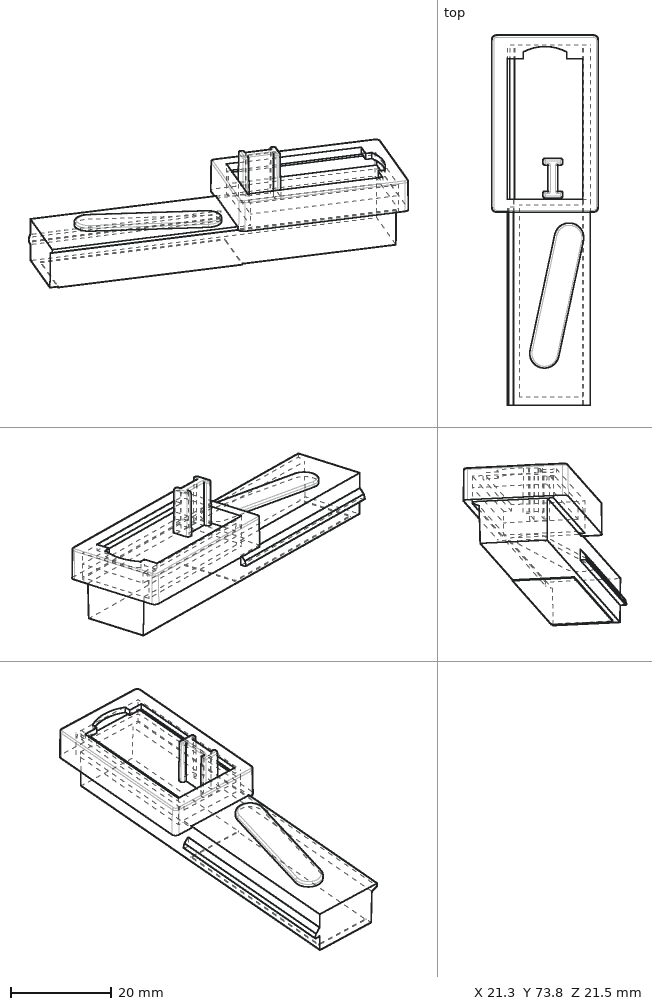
import cadquery as cq
import math


DRAFT_ANGLE = 0.75
OVERLAP = 0.5

HOUSING_WIDTH = 21.3
HOUSING_LENGTH = 35.3
HOUSING_HEIGHT = 6.6
HOUSING_CORNER_RADIUS = 1.0
HOUSING_TOP_FILLET = 0.33
PLATE_THICKNESS = 1.3
PLATE_UNDERSIDE = HOUSING_HEIGHT - PLATE_THICKNESS

WINDOW_HALF_WIDTH = 7.48
WINDOW_FRONT = 2.6
WINDOW_REAR = 30.6
NOTCH_HALF_WIDTH = 4.36
NOTCH_SIDE_END = 31.9
NOTCH_APEX = 33.0

BAR_FRONT = -38.52
BAR_REAR = 33.4
BAR_TOP = 0.45
BAR_BOTTOM = -8.6
BAR_LEFT_TOP = -6.28
BAR_LEFT_BOTTOM = -6.2
BAR_RIGHT_TOP = 7.65
BAR_RIGHT_BOTTOM = 7.45
FLANGE_RIGHT = 9.05
FLANGE_EDGE_BOTTOM = -0.3
FLANGE_ROOT = -0.9

HEAD_TOP = 2.95
RIB_TOP_LEFT = -7.0
RIB_TOP_RIGHT = -6.1
RIB_BOTTOM_RIGHT = -6.05

RAIL_REAR = 1.05
RAIL_TOP = -2.9
RAIL_SLOPE_LEFT = -7.25
RAIL_SLOPE_BOTTOM = -3.95
RAIL_NOSE_LEFT = -7.53
RAIL_BOTTOM = -5.1
RAIL_NOSE_CHAMFER = 0.15

PAD_LEFT = -5.1
PAD_FRONT = -36.8
PAD_REAR = 1.5
PAD_THICKNESS = 0.2

PILL_RADIUS = 2.93
PILL_HEIGHT = 1.1
PILL_FILLET = 0.4
PILL_REAR_CENTER = (4.8, -5.1)
PILL_FRONT_CENTER = (-0.12, -28.15)

POST_LEFT = -0.45
POST_WIDTH = 4.0
POST_FRONT = 2.8
POST_LENGTH = 7.95
POST_PROTRUSION = 6.05
POST_TOP = HOUSING_HEIGHT + POST_PROTRUSION
POST_FLANGE = 1.4
POST_WEB = 2.0
POST_CORNER_RADIUS = 0.5
POST_TOP_FILLET = 0.35


def box(x_min, x_max, y_min, y_max, z_min, z_max):
    """Box between the given limits."""
    return cq.Workplane("XY").box(
        x_max - x_min, y_max - y_min, z_max - z_min, centered=False
    ).translate((x_min, y_min, z_min))


def prism_along_y(points, y_front, y_rear):
    """Polygon of (x, z) points, extruded from y_front to y_rear."""
    plane = cq.Workplane("XZ", origin=(0, y_rear, 0))
    return plane.polyline(points).close().extrude(y_rear - y_front)


def make_head():
    """Block that fills the lower part of the housing cavity, with a rib along its left edge."""
    block = box(-WINDOW_HALF_WIDTH, FLANGE_RIGHT, WINDOW_FRONT, BAR_REAR, 0, HEAD_TOP)
    rib_profile = [
        (-WINDOW_HALF_WIDTH, HEAD_TOP - OVERLAP),
        (-WINDOW_HALF_WIDTH, HEAD_TOP),
        (RIB_TOP_LEFT, PLATE_UNDERSIDE),
        (RIB_TOP_RIGHT, PLATE_UNDERSIDE),
        (RIB_BOTTOM_RIGHT, HEAD_TOP),
        (RIB_BOTTOM_RIGHT, HEAD_TOP - OVERLAP),
    ]
    return block.union(prism_along_y(rib_profile, WINDOW_FRONT, BAR_REAR))


def make_rail():
    """Guide rail with a sloped top and a blunt nose."""
    root = BAR_LEFT_BOTTOM + OVERLAP
    profile = [
        (root, RAIL_TOP),
        (BAR_LEFT_TOP, RAIL_TOP),
        (RAIL_SLOPE_LEFT, RAIL_SLOPE_BOTTOM),
        (RAIL_NOSE_LEFT, RAIL_BOTTOM + RAIL_NOSE_CHAMFER),
        (RAIL_NOSE_LEFT + RAIL_NOSE_CHAMFER, RAIL_BOTTOM),
        (root, RAIL_BOTTOM),
    ]
    return prism_along_y(profile, BAR_FRONT, RAIL_REAR)


def make_bar():
    """Flanged bar with its head, guide rail and bottom pad."""
    profile = [
        (BAR_LEFT_TOP, BAR_TOP),
        (FLANGE_RIGHT, BAR_TOP),
        (FLANGE_RIGHT, FLANGE_EDGE_BOTTOM),
        (BAR_RIGHT_TOP, FLANGE_ROOT),
        (BAR_RIGHT_BOTTOM, BAR_BOTTOM),
        (BAR_LEFT_BOTTOM, BAR_BOTTOM),
    ]
    pad = box(
        PAD_LEFT, BAR_RIGHT_BOTTOM, PAD_FRONT, PAD_REAR, BAR_BOTTOM - PAD_THICKNESS, BAR_BOTTOM
    )
    bar = prism_along_y(profile, BAR_FRONT, BAR_REAR)
    return bar.union(make_head()).union(make_rail()).union(pad)


def make_window():
    """Cutter for the window and its arched notch."""
    return (
        cq.Workplane("XY", origin=(0, 0, PLATE_UNDERSIDE))
        .moveTo(-WINDOW_HALF_WIDTH, WINDOW_FRONT)
        .lineTo(WINDOW_HALF_WIDTH, WINDOW_FRONT)
        .lineTo(WINDOW_HALF_WIDTH, WINDOW_REAR)
        .lineTo(NOTCH_HALF_WIDTH, WINDOW_REAR)
        .lineTo(NOTCH_HALF_WIDTH, NOTCH_SIDE_END)
        .threePointArc((0, NOTCH_APEX), (-NOTCH_HALF_WIDTH, NOTCH_SIDE_END))
        .lineTo(-NOTCH_HALF_WIDTH, WINDOW_REAR)
        .lineTo(-WINDOW_HALF_WIDTH, WINDOW_REAR)
        .close()
        .extrude(PLATE_THICKNESS)
    )


def make_housing():
    """Drafted cap with a windowed top plate, a cavity for the bar head and a seat for the bar."""
    shell = (
        cq.Workplane("XY")
        .center(0, HOUSING_LENGTH / 2)
        .sketch()
        .rect(HOUSING_WIDTH, HOUSING_LENGTH)
        .vertices()
        .fillet(HOUSING_CORNER_RADIUS)
        .finalize()
        .extrude(HOUSING_HEIGHT, taper=DRAFT_ANGLE)
        .faces(">Z")
        .edges()
        .fillet(HOUSING_TOP_FILLET)
    )
    cavity = box(
        -WINDOW_HALF_WIDTH, FLANGE_RIGHT, WINDOW_FRONT, BAR_REAR, 0, PLATE_UNDERSIDE
    )
    bar_seat = box(BAR_LEFT_TOP, FLANGE_RIGHT, 0, BAR_REAR, 0, BAR_TOP)
    return shell.cut(cavity).cut(bar_seat).cut(make_window())


def make_pill():
    """Slanted rounded bar with a filleted top edge."""
    run_x = PILL_REAR_CENTER[0] - PILL_FRONT_CENTER[0]
    run_y = PILL_REAR_CENTER[1] - PILL_FRONT_CENTER[1]
    middle_x = (PILL_REAR_CENTER[0] + PILL_FRONT_CENTER[0]) / 2
    middle_y = (PILL_REAR_CENTER[1] + PILL_FRONT_CENTER[1]) / 2
    length = math.hypot(run_x, run_y) + 2 * PILL_RADIUS
    slant = math.degrees(math.atan2(run_y, run_x))
    return (
        cq.Workplane("XY", origin=(middle_x, middle_y, BAR_TOP))
        .slot2D(length, 2 * PILL_RADIUS, slant)
        .extrude(PILL_HEIGHT)
        .faces(">Z")
        .edges()
        .fillet(PILL_FILLET)
    )


def make_post():
    """Drafted I-section post with rounded edges, standing on the bar head."""
    half_width = POST_WIDTH / 2
    half_web = POST_WEB / 2
    half_length = POST_LENGTH / 2
    inner = half_length - POST_FLANGE
    outline = [
        (-half_width, -half_length),
        (half_width, -half_length),
        (half_width, -inner),
        (half_web, -inner),
        (half_web, inner),
        (half_width, inner),
        (half_width, half_length),
        (-half_width, half_length),
        (-half_width, inner),
        (-half_web, inner),
        (-half_web, -inner),
        (-half_width, -inner),
        (-half_width, -half_length),
    ]
    section = cq.Sketch().polygon(outline)
    section = section.vertices("<X or >X").fillet(POST_CORNER_RADIUS)
    center = (POST_LEFT + half_width, POST_FRONT + half_length, HEAD_TOP)
    return (
        cq.Workplane("XY", origin=center)
        .placeSketch(section)
        .extrude(POST_TOP - HEAD_TOP, taper=DRAFT_ANGLE)
        .faces(">Z")
        .edges()
        .fillet(POST_TOP_FILLET)
    )


bar = make_bar().solids()
housing = make_housing().solids()
pill = make_pill().solids()
post = make_post().solids()

result = cq.Compound.makeCompound([bar.val(), housing.val(), pill.val(), post.val()])